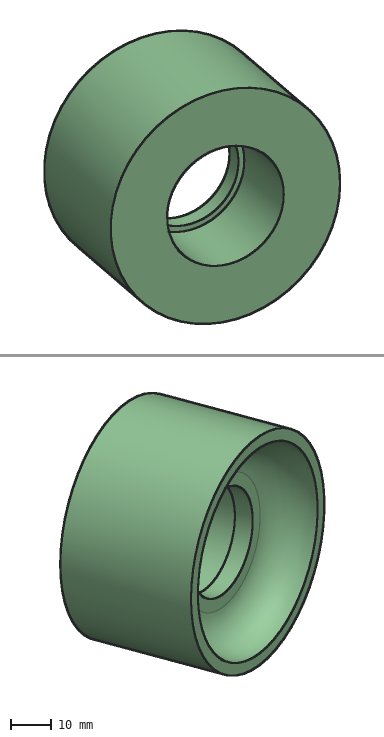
import cadquery as cq

length = 38.0
outer_diameter = 63.0
bore_diameter = 28.8
counterbore_diameter = 32.0
bowl_floor_diameter = 35.85
bowl_mouth_diameter = 56.5
counterbore_depth = 22.5

bowl_radius = (bowl_mouth_diameter - bowl_floor_diameter) / 2

front_x = -length / 2
back_x = length / 2
bowl_floor_x = front_x + bowl_radius
counterbore_x = back_x - counterbore_depth


def make_body():
    """Plain cylinder along X."""
    return cq.Workplane("YZ", origin=(front_x, 0, 0)).circle(outer_diameter / 2).extrude(length)


def make_bowl():
    """Flat-floored bowl with a concave wall, open at the -X face."""
    floor_radius = bowl_floor_diameter / 2
    mouth_radius = bowl_mouth_diameter / 2
    return (
        cq.Workplane("XY")
        .moveTo(front_x, 0)
        .lineTo(front_x, mouth_radius)
        .radiusArc((bowl_floor_x, floor_radius), bowl_radius)
        .lineTo(bowl_floor_x, 0)
        .close()
        .revolve(360, (0, 0, 0), (1, 0, 0))
    )


def make_round_cut(diameter, start_x, end_x):
    """Round cutter on the X axis between two stations."""
    return cq.Workplane("YZ", origin=(start_x, 0, 0)).circle(diameter / 2).extrude(end_x - start_x)


bore = make_round_cut(bore_diameter, front_x, back_x)
counterbore = make_round_cut(counterbore_diameter, counterbore_x, back_x)

result = make_body().cut(make_bowl()).cut(bore).cut(counterbore)